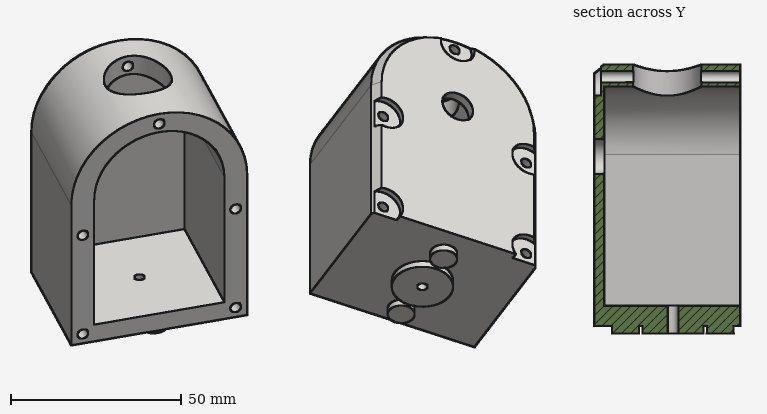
import cadquery as cq

length = 43.0
width = 54.0
height = 79.0
foot_height = 2.2

outer_radius = width / 2
arch_z = height - outer_radius
side_wall = 7.0
roof_wall = 6.5
floor_thickness = 6.0
front_wall = 3.0
chamfer_depth = 2.85
chamfer_inset = 2.05

shaft_hole_diameter = 10.0
roof_hole_diameter = 20.0
drain_diameter = 3.0

screw_diameter = 3.2
recess_diameter = 11.05
recess_depth = 2.0
screw_inset = 3.55
low_screw_z = 5.6
side_screw_z = 40.6

center_foot_diameter = 18.0
side_foot_diameter = 8.0
center_foot_x = 23.15
foot_pitch = 13.9


def arch_profile(x, radius, bottom_z, top_z):
    """Straight-sided round-topped outline in the plane at x."""
    axis_z = top_z - radius
    return (
        cq.Workplane("YZ", origin=(x, 0, 0))
        .moveTo(-radius, bottom_z)
        .lineTo(radius, bottom_z)
        .lineTo(radius, axis_z)
        .threePointArc((0, top_z), (-radius, axis_z))
        .close()
    )


def cylinder_x(y, z, diameter, depth):
    """Cylinder along +X that starts at the closed end."""
    return cq.Workplane("YZ").center(y, z).circle(diameter / 2).extrude(depth)


def cylinder_z(x, diameter, bottom_z, top_z):
    """Vertical cylinder on the middle plane of the part."""
    return (
        cq.Workplane("XY", origin=(x, 0, bottom_z))
        .circle(diameter / 2)
        .extrude(top_z - bottom_z)
    )


def chamfered_block():
    """Solid arch whose closed end is bevelled on the sides and roof only."""
    full_outline = arch_profile(chamfer_depth, outer_radius, foot_height, height)
    block = full_outline.extrude(length - chamfer_depth)
    end_outline = arch_profile(0, outer_radius - chamfer_inset, foot_height, height - chamfer_inset)
    bevel = cq.Solid.makeLoft([end_outline.wires().val(), full_outline.wires().val()], True)
    return block.union(cq.Workplane(bevel))


floor_z = foot_height + floor_thickness
cavity = arch_profile(
    front_wall, outer_radius - side_wall, floor_z, height - roof_wall
).extrude(length - front_wall)
body = chamfered_block().cut(cavity)

body = body.cut(cylinder_x(0, arch_z, shaft_hole_diameter, front_wall))
body = body.cut(cylinder_z(length / 2, roof_hole_diameter, arch_z, height))

screw_y = outer_radius - screw_inset
screw_places = [(0, height - screw_inset)]
for side in (-1, 1):
    for z in (low_screw_z, side_screw_z):
        screw_places.append((side * screw_y, z))
for y, z in screw_places:
    body = body.cut(cylinder_x(y, z, screw_diameter, length))
    body = body.cut(cylinder_x(y, z, recess_diameter, recess_depth))

feet = (
    (center_foot_x - foot_pitch, side_foot_diameter),
    (center_foot_x, center_foot_diameter),
    (center_foot_x + foot_pitch, side_foot_diameter),
)
for x, diameter in feet:
    body = body.union(cylinder_z(x, diameter, 0, floor_z - floor_thickness / 2))

result = body.cut(cylinder_z(center_foot_x, drain_diameter, 0, floor_z))